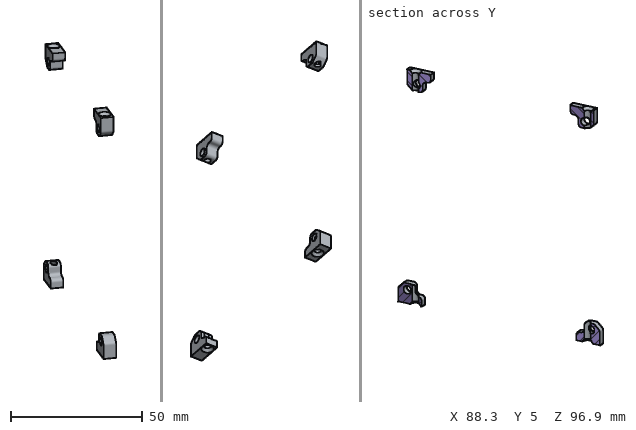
import cadquery as cq

overall_width = 88.27
overall_height = 96.91
upper_left_setback = 2.6
upper_right_setback = 3.9

bracket_length = 10.5
bracket_thickness = 5.0
bracket_height = 8.5
base_height = 3.8
lug_width = 7.0
outer_chamfer_width = 2.6
outer_chamfer_height = 2.4
corner_radius = 1.5

pin_hole_diameter = 3.1
pin_hole_inset = 4.1
pin_hole_height = 5.7

screw_hole_diameter = 2.5
countersink_diameter = 4.8
countersink_depth = 1.2
left_screw_inset = 5.45
right_screw_inset = 7.65


def corner_at(x, z):
    """Selector for the profile corner edge that runs along Y through (x, z)."""
    reach = 0.1
    half = bracket_thickness
    return cq.selectors.BoxSelector((x - reach, -half, z - reach), (x + reach, half, z + reach))


def bracket_blank():
    """Solid bracket profile, seat on Z = 0, outer side on X = 0, lug pointing up."""
    rounded_corners = [
        (bracket_length, base_height),
        (lug_width, base_height),
        (lug_width, bracket_height),
        (outer_chamfer_width, bracket_height),
        (0, bracket_height - outer_chamfer_height),
    ]
    outline = [(0, 0), (bracket_length, 0)] + rounded_corners
    blank = cq.Workplane("XZ").polyline(outline).close().extrude(bracket_thickness / 2, both=True)
    for x, z in rounded_corners:
        blank = blank.edges(corner_at(x, z)).fillet(corner_radius)
    return blank


def pin_hole():
    """Cutter for the pin hole along Y."""
    return (
        cq.Workplane("XZ", origin=(pin_hole_inset, 0, pin_hole_height))
        .circle(pin_hole_diameter / 2)
        .extrude(bracket_thickness, both=True)
    )


def screw_hole(inset):
    """Cutter for the vertical screw hole, with its countersink opening at the seat."""
    hole_radius = screw_hole_diameter / 2
    return (
        cq.Workplane("XZ")
        .moveTo(0, 0)
        .lineTo(countersink_diameter / 2, 0)
        .lineTo(hole_radius, countersink_depth)
        .lineTo(hole_radius, bracket_height)
        .lineTo(0, bracket_height)
        .close()
        .revolve(360, (0, 0, 0), (0, 1, 0))
        .translate((inset, 0, 0))
    )


def bracket(screw_inset):
    """One left-hand lower bracket with its screw hole at the given distance from the outer side."""
    return bracket_blank().cut(pin_hole()).cut(screw_hole(screw_inset))


brackets = []
for mirrored, screw_inset, upper_setback in [
    (False, left_screw_inset, upper_left_setback),
    (True, right_screw_inset, upper_right_setback),
]:
    for upper in (False, True):
        setback = upper_setback if upper else 0
        body = bracket(screw_inset - setback)
        body = body.translate((setback - overall_width / 2, 0, -overall_height / 2))
        if upper:
            body = body.mirror("XY")
        if mirrored:
            body = body.mirror("YZ")
        brackets.append(body)

result = cq.Compound.makeCompound([body.val() for body in brackets])